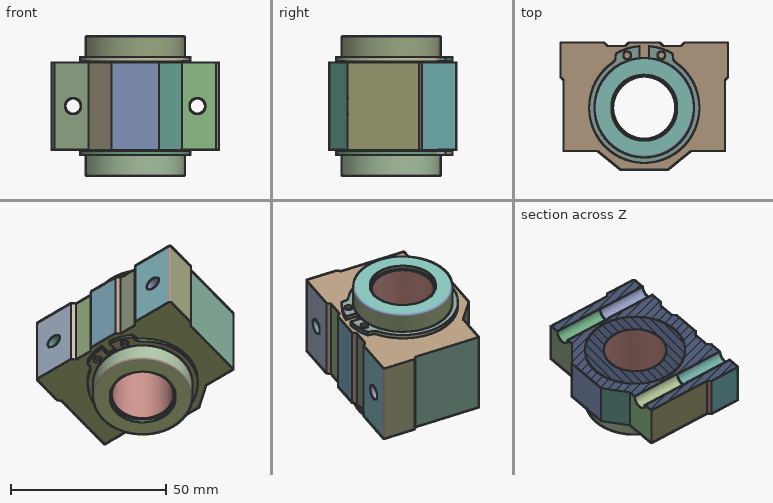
import cadquery as cq


bearing_diameter = 32.0
bearing_length = 45.0
bearing_edge_radius = 0.6
bore_diameter = 20
mouth_diameter = 21.2
mouth_depth = 1.35

groove_diameter = 30.3
groove_outer_z = 15.75

ring_diameter = 35.5
ring_thickness = 1.35
ring_gap = 3.2
ear_crest_y = 19.85
ear_tip_y = 17.45
ear_tip_half_width = 9.05
ear_root_half_width = 9.55
ear_root_y = 14.05
ear_blend_radius = 1.5
ear_hole_diameter = 2.5
ear_hole_x = 5.5
ear_hole_y = 16.85

block_width = 54
block_length = 28.2
mount_face_y = 21.0
nose_y = -20
shoulder_y = -14.0
nose_half_width = 7.6
nose_root_half_width = 15.0
side_step = 0.95
side_step_top_y = 9.9
slot_depth = 1.15
slot_inner_x = 4.95
slot_outer_x = 12.95
corner_radius = 0.5
mount_hole_diameter = 4.9
mount_hole_wide_diameter = 5.2
mount_hole_x = 20


def cylinder(diameter, bottom_z, height):
    """Upright cylinder on the bearing axis."""
    return cq.Workplane("XY").workplane(offset=bottom_z).circle(diameter / 2).extrude(height)


def mount_holes(diameter, depth):
    """Pair of holes along +Y, starting at the shoulder faces."""
    return (
        cq.Workplane("XZ", origin=(0, shoulder_y, 0))
        .pushPoints([(-mount_hole_x, 0), (mount_hole_x, 0)])
        .circle(diameter / 2)
        .extrude(-depth)
    )


def make_block():
    """Housing block with a flat-sided nose, slots in its mounting face and a bearing bore."""
    half_width = block_width / 2
    lower_half_width = half_width - side_step
    slot_floor_y = mount_face_y - slot_depth
    right_side = [
        (nose_half_width, nose_y),
        (nose_root_half_width, shoulder_y),
        (lower_half_width, shoulder_y),
        (lower_half_width, side_step_top_y - side_step),
        (half_width, side_step_top_y),
        (half_width, mount_face_y),
        (slot_outer_x, mount_face_y),
        (slot_outer_x - slot_depth, slot_floor_y),
        (slot_inner_x + slot_depth, slot_floor_y),
        (slot_inner_x, mount_face_y),
    ]
    left_side = [(-x, y) for x, y in reversed(right_side)]
    body = (
        cq.Workplane("XY")
        .workplane(offset=-block_length / 2)
        .polyline(right_side + left_side)
        .close()
        .extrude(block_length)
    )
    for side in ("<X", ">X"):
        body = body.faces(">Y").edges("|Z").edges(side).fillet(corner_radius)
    body = body.cut(cylinder(bearing_diameter, -block_length / 2, block_length))

    hole_length = mount_face_y - shoulder_y
    wide_length = hole_length / 2
    through_holes = mount_holes(mount_hole_diameter, hole_length)
    wide_holes = mount_holes(mount_hole_wide_diameter, wide_length)
    return body.cut(through_holes).cut(wide_holes)


def make_bearing():
    """Bearing sleeve with rounded ends, a widened bore mouth and a ring groove at each end."""
    half_length = bearing_length / 2
    groove_inner_z = block_length / 2
    groove_width = groove_outer_z - groove_inner_z
    sleeve = cylinder(bearing_diameter, -half_length, bearing_length)
    sleeve = sleeve.edges("%CIRCLE").fillet(bearing_edge_radius)
    sleeve = sleeve.cut(cylinder(bore_diameter, -half_length, bearing_length))
    for mouth_z in (-half_length, half_length - mouth_depth):
        sleeve = sleeve.cut(cylinder(mouth_diameter, mouth_z, mouth_depth))
    for groove_z in (-groove_outer_z, groove_inner_z):
        groove = cylinder(bearing_diameter, groove_z, groove_width)
        groove = groove.cut(cylinder(groove_diameter, groove_z, groove_width))
        sleeve = sleeve.cut(groove)
    return sleeve


def make_ring(bottom_z):
    """Split retaining ring with two drilled ears facing +Y."""
    ears = (
        cq.Workplane("XY")
        .workplane(offset=bottom_z)
        .moveTo(-ear_root_half_width, ear_root_y)
        .lineTo(-ear_tip_half_width, ear_tip_y)
        .threePointArc((0, ear_crest_y), (ear_tip_half_width, ear_tip_y))
        .lineTo(ear_root_half_width, ear_root_y)
        .close()
        .extrude(ring_thickness)
    )
    ring = cylinder(ring_diameter, bottom_z, ring_thickness).union(ears)

    root_zone = cq.selectors.BoxSelector(
        (-ear_root_half_width, ear_root_y, bottom_z - ring_thickness),
        (ear_root_half_width, ear_tip_y - 0.55, bottom_z + 2 * ring_thickness),
    )
    ring = ring.edges("|Z").edges(root_zone).fillet(ear_blend_radius)
    ring = ring.cut(cylinder(groove_diameter, bottom_z, ring_thickness))

    gap = (
        cq.Workplane("XY")
        .workplane(offset=bottom_z)
        .center(0, ear_crest_y / 2)
        .rect(ring_gap, ear_crest_y)
        .extrude(ring_thickness)
    )
    ear_holes = (
        cq.Workplane("XY")
        .workplane(offset=bottom_z)
        .pushPoints([(-ear_hole_x, ear_hole_y), (ear_hole_x, ear_hole_y)])
        .circle(ear_hole_diameter / 2)
        .extrude(ring_thickness)
    )
    return ring.cut(gap).cut(ear_holes)


block = make_block()
bearing = make_bearing()
rings = [make_ring(bottom_z) for bottom_z in (-groove_outer_z, groove_outer_z - ring_thickness)]

result = cq.Compound.makeCompound([block.val(), bearing.val(), *[ring.val() for ring in rings]])